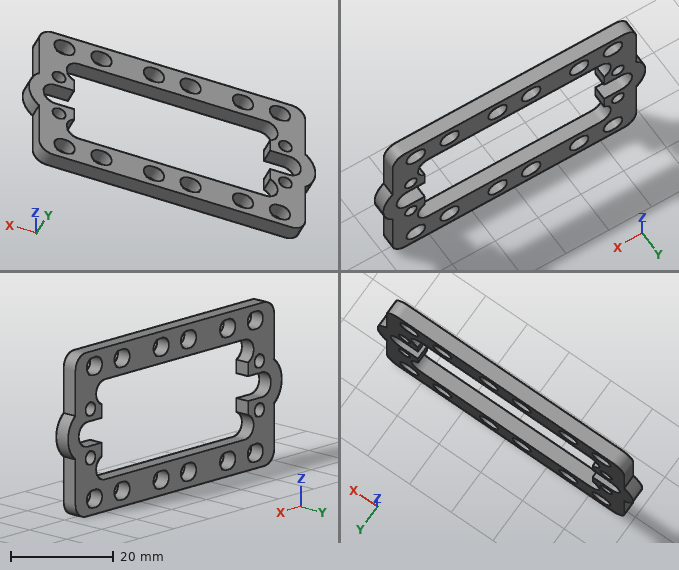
import cadquery as cq

length = 61.2
height = 33.3
thickness = 3.2
body_length = 56.9
corner_radius = 3.0

ear_radius = 5.6
ear_center_x = length / 2 - ear_radius

window_length = 41.85
window_height = 20.3
lobe_radius = 2.5
lobe_center_x = 20.0
lobe_center_z = window_height / 2 - lobe_radius
notch_width = 5.0
notch_length = 2 * ear_center_x + notch_width

slot_length = 4.35
slot_width = 3.6
slot_z = 13.45
slot_offsets = (3.9, 15.1, 23.0)

screw_diameter = 2.75
screw_x = 24.15
screw_z = 4.95


def plane_sketch():
    """Workplane on the +Y face, with normal along -Y."""
    return cq.Workplane("XZ", origin=(0, thickness / 2, 0))


def mirrored_points(x, z):
    """The same point in all four quadrants."""
    return [(side * x, level * z) for side in (-1, 1) for level in (-1, 1)]


def make_plate():
    body = plane_sketch().rect(body_length, height).extrude(thickness)
    body = body.edges("|Y").fillet(corner_radius)
    ears = (
        plane_sketch()
        .pushPoints([(-ear_center_x, 0), (ear_center_x, 0)])
        .circle(ear_radius)
        .extrude(thickness)
    )
    return body.union(ears)


def make_opening():
    core = plane_sketch().rect(2 * lobe_center_x, window_height).extrude(thickness)
    strip = plane_sketch().rect(window_length, 2 * lobe_center_z).extrude(thickness)
    lobes = (
        plane_sketch()
        .pushPoints(mirrored_points(lobe_center_x, lobe_center_z))
        .circle(lobe_radius)
        .extrude(thickness)
    )
    notch = plane_sketch().slot2D(notch_length, notch_width).extrude(thickness)
    return core.union(strip).union(lobes).union(notch)


def make_mounting_slots():
    centers = [point for x in slot_offsets for point in mirrored_points(x, slot_z)]
    return plane_sketch().pushPoints(centers).slot2D(slot_length, slot_width).extrude(thickness)


def make_screw_holes():
    return (
        plane_sketch()
        .pushPoints(mirrored_points(screw_x, screw_z))
        .circle(screw_diameter / 2)
        .extrude(thickness)
    )


result = make_plate().cut(make_opening()).cut(make_mounting_slots()).cut(make_screw_holes())